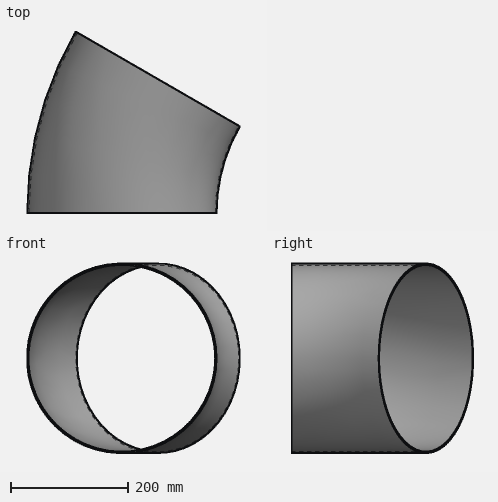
import cadquery as cq

outer_diameter = 323.8
wall = 3.0
bend_radius = 457.5
bend_angle = 30.0

outer_radius = outer_diameter / 2
inner_radius = outer_radius - wall

pipe_section = cq.Workplane("XZ").circle(outer_radius).circle(inner_radius)

bend_axis_start = (bend_radius, 0)
bend_axis_end = (bend_radius, -1)

result = pipe_section.revolve(bend_angle, bend_axis_start, bend_axis_end)